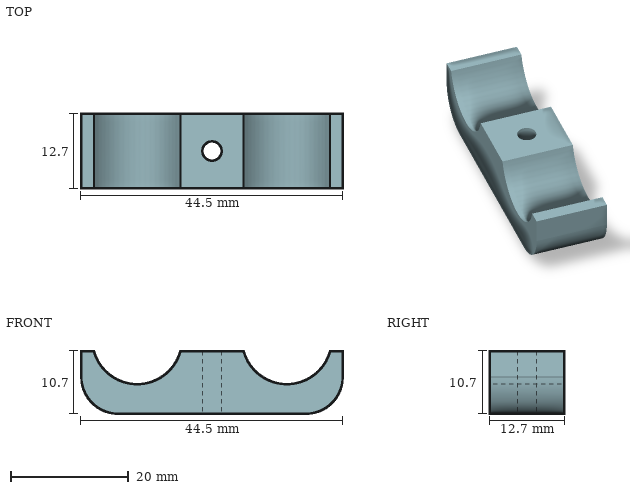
import cadquery as cq

length = 44.45
width = 12.7
height = 10.65
corner_radius = 6.3

cradle_spacing = 25.43
cradle_radius = 7.6
cradle_depth = 5.6
cradle_axis_height = height - cradle_depth + cradle_radius

hole_diameter = 3.25


def make_block():
    """Block standing on Z = 0 with rounded lower ends."""
    block = cq.Workplane("XY").box(length, width, height, centered=(True, True, False))
    return block.edges("|Y and <Z").fillet(corner_radius)


def make_cradle_cutter(x):
    """Cylinder along Y that leaves one cradle."""
    return (
        cq.Workplane("XZ")
        .center(x, cradle_axis_height)
        .circle(cradle_radius)
        .extrude(width, both=True)
    )


result = make_block()
for side in (-1, 1):
    result = result.cut(make_cradle_cutter(side * cradle_spacing / 2))
result = result.faces("<Z").workplane(origin=(0, 0, 0)).hole(hole_diameter)